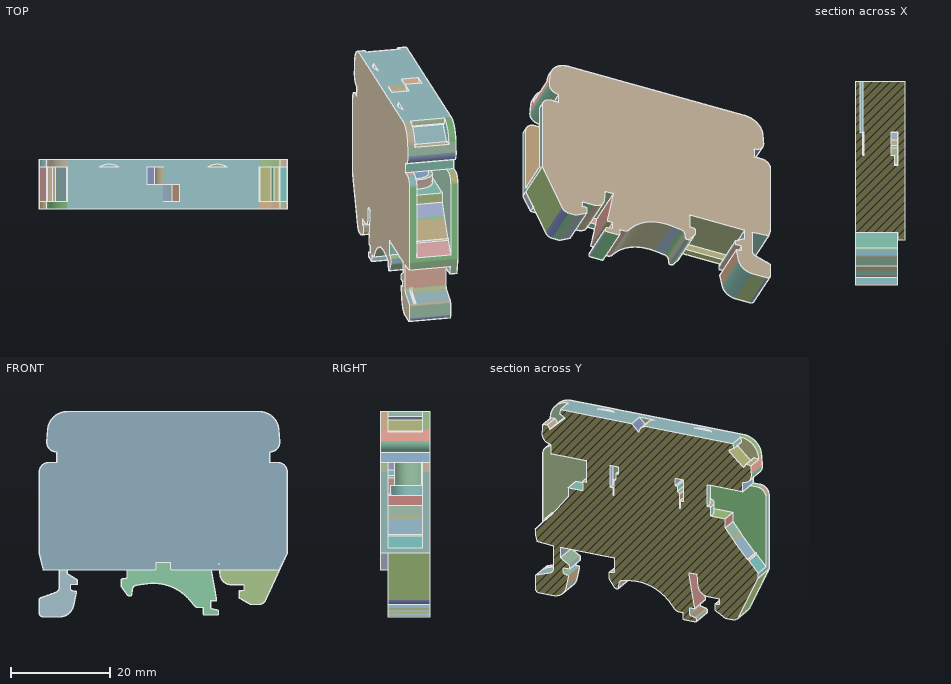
import cadquery as cq
import math


LENGTH = 50.0
WIDTH = 10.0
HEIGHT = 41.4
MID_X = LENGTH / 2

PLATE = 1.5
FRONT_Y = -WIDTH / 2
REAR_Y = WIDTH / 2
CORE_FRONT_Y = FRONT_Y + PLATE
CORE_REAR_Y = REAR_Y - PLATE

SHOULDER_Z = 31.15
SHOULDER_R = 2.0
NECK_X = 3.56
NECK_TOP_Z = 33.15
HEAD_TOP_X = 1.98
HEAD_BOTTOM_X = 1.4
HEAD_BOTTOM_Z = 33.75
HEAD_TOP_R = 4.0
HEAD_BOTTOM_R = 2.0
SIDE_BOTTOM_Z = 12.9
PLATE_BOTTOM_Z = 9.45
PLATE_LEFT_X = 0.85
PLATE_RIGHT_X = 48.3
LEFT_LEAN = PLATE_LEFT_X / (SIDE_BOTTOM_Z - PLATE_BOTTOM_Z)

NOTCH_WIDTH = 2.9
NOTCH_TOP_Z = 11.0
NOTCH_R = 0.4

BODY_LEFT_Z = 11.25
BODY_LEFT_X = LEFT_LEAN * (SIDE_BOTTOM_Z - BODY_LEFT_Z)
BODY_BOTTOM_Z = 10.95

LEG_X = 4.04
LEG_TOE_Z = 3.8
LEG_HEEL_Z = 5.23
GROOVE_WIDTH = 0.35
GROOVE_DEPTH = 0.4
GROOVE_FRONT_Y = 3.6
GROOVE_START_X = 0.5
GROOVE_TOP_Z = 6.0

HEAD_POCKET_EDGE_X = 5.7
HEAD_LEDGE_OUTER = (1.65, 37.25)
HEAD_LEDGE_INNER = (2.75, 37.45)
HEAD_LEDGE_R = 3.0
HEAD_GROOVE_TOP = (2.9, 37.3)
HEAD_GROOVE_BOTTOM = (3.35, 36.6)
HEAD_LIP_X = 5.5
HEAD_LIP_Z = 40.35
HEAD_SLOPE_TOP = (6.65, 39.65)
HEAD_LIP_R = 3.0

FUNNEL_SILL_Z = 13.95
CHAMBER_FLOOR_Z = 24.5
CHAMBER_WALL_X = 7.4
CHAMBER_END_X = 17.6
FUNNEL_STEPS = [
    (1.85, 16.05),
    (2.1, 16.3),
    (2.2, 16.65),
    (2.45, 16.5),
    (5.3, 19.8),
    (5.6, 20.3),
    (CHAMBER_WALL_X, 22.5),
]
BACK_SILL_HEIGHT = 0.3
BACK_SILL_DEPTH = 0.2
BACK_SLOPE_Z = 28.0
BACK_SLOPE_RISE = 0.5
BACK_RECESS_Z = 29.65
BACK_RECESS_DEPTH = 0.5

SCREW_X = 14.1
SCREW_Y = 0.55
SCREW_D = 5.5
COLLAR_D = 7.0
COLLAR_TOP_Z = 26.5

SLOT_WIDTH = 3.3
SLOT_LIP_R = 1.8
SLOT_SLOPE_RUN = SLOT_WIDTH - SLOT_LIP_R
SLOT_DEPTH = 1.6


def rounded_outline(corners):
    """Closed wire in the XZ plane through (x, z, radius) corners, each rounded by a tangent arc."""
    path = None
    count = len(corners)
    for i in range(count):
        x, z, radius = corners[i]
        corner = cq.Vector(x, z)
        to_last = (cq.Vector(*corners[i - 1][:2]) - corner).normalized()
        to_next = (cq.Vector(*corners[(i + 1) % count][:2]) - corner).normalized()
        half_angle = to_last.getAngle(to_next) / 2
        setback = radius / math.tan(half_angle)
        start = corner + to_last * setback
        end = corner + to_next * setback
        to_arc = radius / math.sin(half_angle) - radius
        middle = corner + (to_last + to_next).normalized() * to_arc
        if path is None:
            path = cq.Workplane("XZ").moveTo(start.x, start.y)
        else:
            path = path.lineTo(start.x, start.y)
        if radius > 0:
            path = path.threePointArc((middle.x, middle.y), (end.x, end.y))
    return path.close()


def between(outline, y_front, y_rear):
    """Extrude an XZ outline so that it fills y_front to y_rear."""
    return outline.extrude(y_rear - y_front).translate((0, y_rear, 0))


def at_both_ends(solid):
    """The solid together with its mirror image at the other end of the block."""
    return solid.union(solid.mirror("YZ", (MID_X, 0, 0)))


def end_corners():
    """Corners of the left end above the lower slope, from the bottom to the top."""
    return [
        (0, SIDE_BOTTOM_Z, 0),
        (0, SHOULDER_Z, SHOULDER_R),
        (NECK_X, SHOULDER_Z, 0),
        (NECK_X, NECK_TOP_Z, 0),
        (HEAD_BOTTOM_X, HEAD_BOTTOM_Z, HEAD_BOTTOM_R),
        (HEAD_TOP_X, HEIGHT, HEAD_TOP_R),
    ]


def housing_corners():
    """Corners of the symmetric outline above the lower slopes, clockwise from the lower left."""
    left = end_corners()
    right = [(LENGTH - x, z, radius) for x, z, radius in reversed(left)]
    return left + right


def front_plate():
    """Front plate, notched at the middle of its lower edge."""
    notch_left = MID_X - NOTCH_WIDTH / 2
    notch_right = MID_X + NOTCH_WIDTH / 2
    bottom = [
        (PLATE_RIGHT_X, PLATE_BOTTOM_Z, 0),
        (notch_right, PLATE_BOTTOM_Z, NOTCH_R),
        (notch_right, NOTCH_TOP_Z, 0),
        (notch_left, NOTCH_TOP_Z, 0),
        (notch_left, PLATE_BOTTOM_Z, NOTCH_R),
        (PLATE_LEFT_X, PLATE_BOTTOM_Z, 0),
    ]
    return between(rounded_outline(housing_corners() + bottom), FRONT_Y, CORE_FRONT_Y)


def body():
    """Core and rear plate with the rail hook, the saddle and the release leg below them."""
    rail_hook = [
        (45.2, 2.5, 1.6),
        (42.6, 2.5, 0.4),
        (40.25, 3.85, 0.2),
        (40.25, 5.3, 0.2),
        (41.25, 5.4, 0),
        (41.25, 6.5, 0),
        (36.55, 6.5, 2.3),
        (36.2, BODY_BOTTOM_Z, 0),
    ]
    saddle = [
        (34.45, BODY_BOTTOM_Z, 0),
        (35.8, 3.25, 0.2),
        (34.6, 3.25, 0),
        (34.6, 1.75, 0.2),
        (36.15, 1.4, 0.4),
        (36.15, 0.4, 0.3),
        (33.05, 0.4, 0.2),
        (33.05, 1.9, 0),
        (31.5, 1.9, 1.3),
        (27.3, 7.5, 9.6),
        (18.9, 6.3, 0.9),
        (18.65, 4.2, 0.4),
        (17.85, 4.3, 0.4),
        (16.5, 6.2, 0.8),
        (16.5, 7.7, 0.4),
        (17.7, 7.85, 0),
        (17.7, BODY_BOTTOM_Z, 0),
    ]
    leg = [
        (5.7, BODY_BOTTOM_Z, 0),
        (5.7, 8.75, 0),
        (7.72, 7.5, 0.1),
        (7.72, 6.55, 0.1),
        (6.35, 6.55, 0),
        (6.35, 5.35, 0.4),
        (7.6, 5.2, 0.2),
        (6.5, 0, 3.0),
        (0, 0, 0.9),
        (0, LEG_TOE_Z, 0.5),
        (LEG_X, LEG_HEEL_Z, 1.0),
        (LEG_X, BODY_BOTTOM_Z, 0),
        (BODY_LEFT_X, BODY_LEFT_Z, 0),
    ]
    return between(rounded_outline(housing_corners() + rail_hook + saddle + leg), CORE_FRONT_Y, REAR_Y)


def leg_groove():
    """Narrow slit along the sloping top of the release leg."""
    slope = (LEG_HEEL_Z - LEG_TOE_Z) / LEG_X
    start_z = LEG_TOE_Z + slope * GROOVE_START_X
    corners = [
        (GROOVE_START_X, start_z - GROOVE_DEPTH),
        (LEG_X, LEG_HEEL_Z - GROOVE_DEPTH),
        (LEG_X, GROOVE_TOP_Z),
        (GROOVE_START_X, GROOVE_TOP_Z),
    ]
    outline = cq.Workplane("XZ").polyline(corners).close()
    return between(outline, GROOVE_FRONT_Y, GROOVE_FRONT_Y + GROOVE_WIDTH)


def head_pocket():
    """Recess in the head corner: a rounded ledge, a V groove, a sloping wall and an overhanging lip."""
    outline = (
        cq.Workplane("XZ")
        .moveTo(HEAD_POCKET_EDGE_X, HEIGHT)
        .radiusArc((HEAD_LIP_X, HEAD_LIP_Z), -HEAD_LIP_R)
        .lineTo(*HEAD_SLOPE_TOP)
        .lineTo(*HEAD_GROOVE_BOTTOM)
        .lineTo(*HEAD_GROOVE_TOP)
        .lineTo(*HEAD_LEDGE_INNER)
        .radiusArc(HEAD_LEDGE_OUTER, -HEAD_LEDGE_R)
        .lineTo(0, HEAD_LEDGE_OUTER[1])
        .lineTo(0, HEIGHT)
        .close()
    )
    return between(outline, CORE_FRONT_Y, CORE_REAR_Y)


def clamp_chamber():
    """Sloping wire funnel that opens into the chamber around the clamp screw."""
    slope_top_z = BACK_SLOPE_Z + BACK_SLOPE_RISE
    slope_end_x = CHAMBER_END_X + BACK_SLOPE_RISE
    recess_x = slope_end_x + BACK_RECESS_DEPTH
    back_wall = [
        (CHAMBER_END_X - BACK_SILL_DEPTH, CHAMBER_FLOOR_Z),
        (CHAMBER_END_X - BACK_SILL_DEPTH, CHAMBER_FLOOR_Z + BACK_SILL_HEIGHT),
        (CHAMBER_END_X, CHAMBER_FLOOR_Z + BACK_SILL_HEIGHT),
        (CHAMBER_END_X, BACK_SLOPE_Z),
        (slope_end_x, slope_top_z),
        (slope_end_x, BACK_RECESS_Z),
        (recess_x, BACK_RECESS_Z),
        (recess_x, SHOULDER_Z),
    ]
    floor = [(0, FUNNEL_SILL_Z)] + FUNNEL_STEPS + [(CHAMBER_WALL_X, CHAMBER_FLOOR_Z)]
    outline = cq.Workplane("XZ").polyline(floor + back_wall + [(0, SHOULDER_Z)]).close()
    return between(outline, CORE_FRONT_Y, CORE_REAR_Y)


def pillar(diameter, z_bottom, z_top):
    """Upright cylinder on the axis of the left clamp screw."""
    base = cq.Workplane("XY", origin=(SCREW_X, SCREW_Y, z_bottom))
    return base.circle(diameter / 2).extrude(z_top - z_bottom)


def clamp_screw():
    """Screw shank standing on a wider collar inside the chamber."""
    shank = pillar(SCREW_D, CHAMBER_FLOOR_Z, SHOULDER_Z)
    collar = pillar(COLLAR_D, CHAMBER_FLOOR_Z, COLLAR_TOP_Z)
    return shank.union(collar)


def screw_bore_relief():
    """Shallow round groove where the screw bore cuts into the rear plate."""
    bore = pillar(COLLAR_D, SHOULDER_Z, HEIGHT)
    rear_layer = cq.Workplane("XY").box(LENGTH, PLATE, HEIGHT, centered=False).translate((0, CORE_REAR_Y, 0))
    return bore.intersect(rear_layer)


def marker_slots():
    """Two slots, each with a rounded lip at mid length and a slope at the outer end."""
    slot = (
        cq.Workplane("XZ")
        .moveTo(MID_X, HEIGHT)
        .radiusArc((MID_X - SLOT_LIP_R, HEIGHT - SLOT_LIP_R), -SLOT_LIP_R)
        .lineTo(MID_X - SLOT_LIP_R, HEIGHT - SLOT_DEPTH)
        .lineTo(MID_X - SLOT_LIP_R - SLOT_SLOPE_RUN, HEIGHT)
        .close()
    )
    rear_slot = between(slot, 0, CORE_REAR_Y)
    return rear_slot.union(rear_slot.rotate((MID_X, 0, 0), (MID_X, 0, 1), 180))


result = body().union(front_plate())
result = result.cut(at_both_ends(head_pocket()))
result = result.cut(at_both_ends(clamp_chamber()))
result = result.union(at_both_ends(clamp_screw()))
result = result.cut(at_both_ends(screw_bore_relief()))
result = result.cut(marker_slots())
result = result.cut(leg_groove())